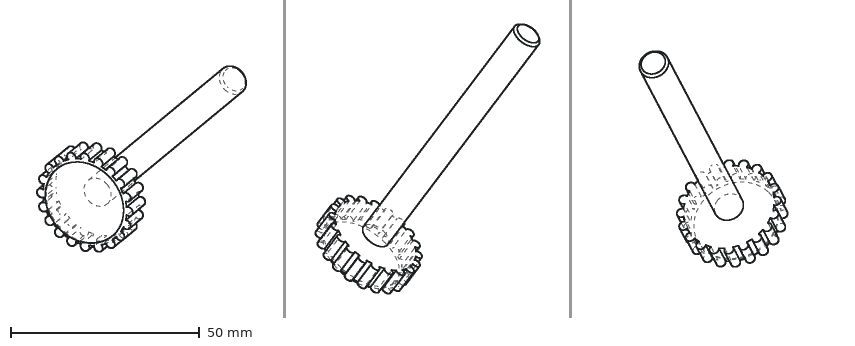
import cadquery as cq

total_length = 89.3
head_diameter = 28.5

tooth_count = 20
tooth_diameter = 2.6
root_diameter = 24.8
rim_length = 7.3

cap_diameter = 23.0
cap_height = 2.0

shaft_diameter = 8.0
shaft_chamfer = 0.7

rim_front = cap_height
rim_back = rim_front + rim_length
shaft_length = total_length - rim_back
tooth_center_radius = (head_diameter - tooth_diameter) / 2


def plane_at(y):
    """Plane across the axis at y, extruding toward +Y."""
    return cq.Workplane(cq.Plane(origin=(0, y, 0), xDir=(1, 0, 0), normal=(0, 1, 0)))


def make_rim():
    """Root cylinder with round teeth set into its edge."""
    rim = plane_at(rim_front).circle(root_diameter / 2).extrude(rim_length)
    teeth = (
        plane_at(rim_front)
        .polarArray(tooth_center_radius, 0, 360, tooth_count)
        .circle(tooth_diameter / 2)
        .extrude(rim_length)
    )
    return rim.union(teeth)


def make_cap():
    """Disc whose edge is a full quarter-round, revolved about Y."""
    cap_radius = cap_diameter / 2
    flat_radius = cap_radius - cap_height
    return (
        cq.Workplane("XY")
        .lineTo(flat_radius, 0)
        .radiusArc((cap_radius, cap_height), -cap_height)
        .lineTo(0, cap_height)
        .close()
        .revolve(360, (0, 0, 0), (0, 1, 0))
    )


def make_shaft():
    """Plain shaft with a chamfered free end."""
    shaft = plane_at(rim_back).circle(shaft_diameter / 2).extrude(shaft_length)
    return shaft.faces(">Y").edges().chamfer(shaft_chamfer)


result = make_rim().union(make_cap()).union(make_shaft())